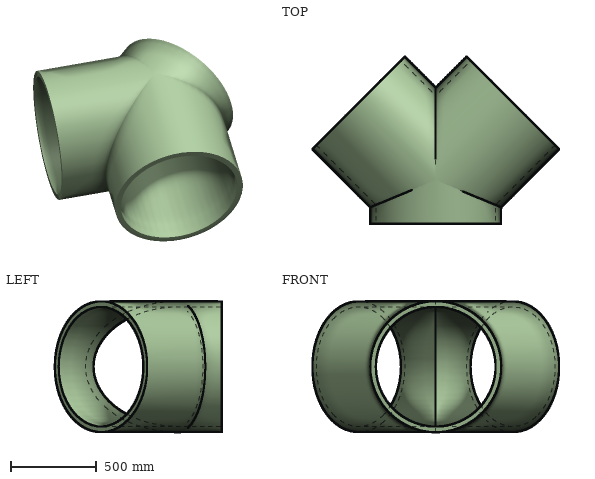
import cadquery as cq
import math

OUTER_DIAMETER = 762.0
BORE_DIAMETER = 695.2
INLET_LENGTH = 254.0
BRANCH_LENGTH = 635.0

INLET_ANGLE = -90.0
RIGHT_BRANCH_ANGLE = 45.0
LEFT_BRANCH_ANGLE = 135.0

RIGHT_MITRE_ANGLE = (INLET_ANGLE + RIGHT_BRANCH_ANGLE) / 2
CROTCH_MITRE_ANGLE = (RIGHT_BRANCH_ANGLE + LEFT_BRANCH_ANGLE) / 2
LEFT_MITRE_ANGLE = 180.0 - RIGHT_MITRE_ANGLE
FULL_TURN = 360.0

MITRE_OVERLAP = OUTER_DIAMETER
WEDGE_REACH = 4 * (BRANCH_LENGTH + OUTER_DIAMETER)


def polar(radius, angle):
    """Point in the XY plane at a radius and an angle in degrees."""
    radians = math.radians(angle)
    return (radius * math.cos(radians), radius * math.sin(radians))


def sector_wedge(start_angle, end_angle):
    """Tall wedge about the Z axis between two mitre planes."""
    middle_angle = (start_angle + end_angle) / 2
    outline = [
        (0, 0),
        polar(WEDGE_REACH, start_angle),
        polar(WEDGE_REACH, middle_angle),
        polar(WEDGE_REACH, end_angle),
    ]
    return cq.Workplane("XY").polyline(outline).close().extrude(OUTER_DIAMETER, both=True)


def mitred_cylinder(diameter, length, angle, start_mitre, end_mitre):
    """Cylinder along a pipe axis, trimmed by its two mitre planes."""
    axis = cq.Vector(*polar(1, angle))
    back_end = axis * -MITRE_OVERLAP
    cylinder = cq.Solid.makeCylinder(diameter / 2, length + MITRE_OVERLAP, back_end, axis)
    return cq.Workplane("XY").add(cylinder).intersect(sector_wedge(start_mitre, end_mitre))


def junction_body(diameter):
    """Solid Y made of three mitred cylinders of one diameter."""
    inlet = mitred_cylinder(
        diameter, INLET_LENGTH, INLET_ANGLE, LEFT_MITRE_ANGLE - FULL_TURN, RIGHT_MITRE_ANGLE
    )
    right_branch = mitred_cylinder(
        diameter, BRANCH_LENGTH, RIGHT_BRANCH_ANGLE, RIGHT_MITRE_ANGLE, CROTCH_MITRE_ANGLE
    )
    left_branch = mitred_cylinder(
        diameter, BRANCH_LENGTH, LEFT_BRANCH_ANGLE, CROTCH_MITRE_ANGLE, LEFT_MITRE_ANGLE
    )
    return inlet.union(right_branch).union(left_branch)


result = junction_body(OUTER_DIAMETER).cut(junction_body(BORE_DIAMETER))